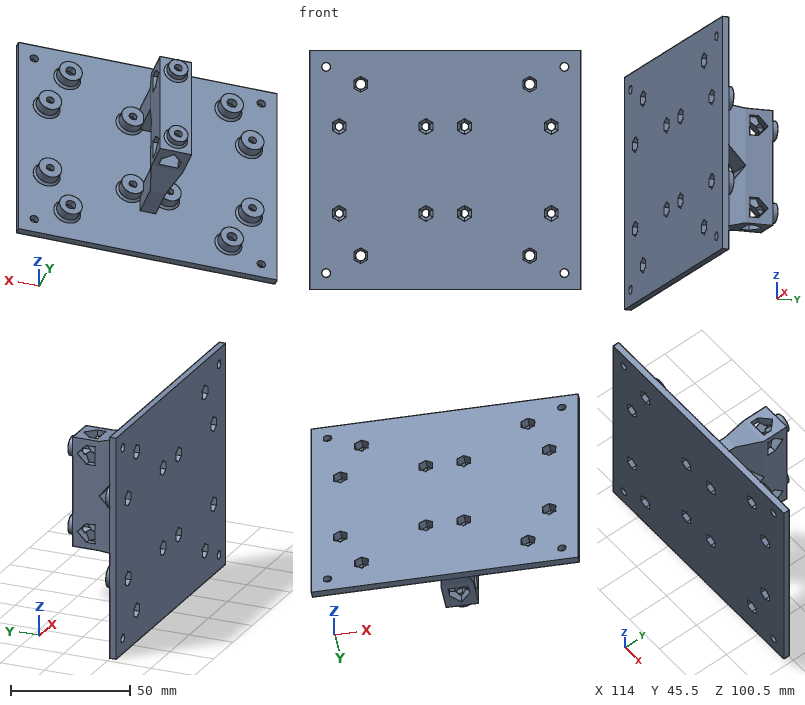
import cadquery as cq

PLATE_WIDTH = 114
PLATE_HEIGHT = 100.5
PLATE_THICKNESS = 3.0
CORNER_HOLE_DIAMETER = 3.5
CORNER_HOLE_INSET = 7.0

BOSS_DIAMETER = 10.0
BOSS_TOP = 8.1
BOSS_FLARE = 0.9
BOSS_FLARE_HEIGHT = 1.0
NUT_ACROSS_CORNERS = 6.6
NUT_ROOF_TO_TOP = 4.1
SMALL_SCREW_DIAMETER = 3.3
LARGE_SCREW_DIAMETER = 4.2
SMALL_SCREW_PITCH = 36.5
SMALL_GROUP_OFFSET = 26.3
LARGE_PITCH_X = 71.0
LARGE_PITCH_Z = 72.0

LEG_WIDTH = 6.8
LEG_HEIGHT = 11.4
LEG_CENTRE_Z = 21.9
LEG_END = 17.1
BLOCK_START = 29.9
BLOCK_END = 42.1
BLOCK_WIDTH = 13.9
BLOCK_HEIGHT = 49.7

CHANNEL_WIDTH = 8.5
CHANNEL_WALL = 3.9
CHANNEL_EAVES_Y = 35.7
PAD_CENTRE_Z = 17.8
PAD_DIAMETER = 8.5
PAD_END = 45.5
PAD_FLARE = 0.9
PAD_FLARE_HEIGHT = 0.8


def plane_at(y):
    """XZ workplane at the given depth, extruding toward +Y."""
    return cq.Workplane(cq.Plane(origin=(0, y, 0), xDir=(1, 0, 0), normal=(0, 1, 0)))


def spot(point):
    """Local coordinates of an (x, z) point on plane_at, whose vertical axis is -Z."""
    x, z = point
    return (x, -z)


def mirrored(x, z):
    """Four (x, z) points placed symmetrically about both axes."""
    return [(sx * x, sz * z) for sx in (-1, 1) for sz in (-1, 1)]


def cylinder(point, diameter, y_start, y_end):
    return plane_at(y_start).center(*spot(point)).circle(diameter / 2).extrude(y_end - y_start)


def flared_post(point, diameter, y_start, y_end, flare, flare_height):
    """Round post whose foot widens in a short cone."""
    post = cylinder(point, diameter, y_start, y_end)
    foot = cq.Solid.makeCone(
        diameter / 2 + flare,
        diameter / 2,
        flare_height,
        cq.Vector(point[0], y_start, point[1]),
        cq.Vector(0, 1, 0),
    )
    return post.union(cq.Workplane(foot))


def nut_pocket(point, screw_diameter, y_start, y_roof, y_end):
    """Hexagonal nut pocket that tapers to the screw hole, which runs on to y_end."""
    def hexagon(y):
        turned = plane_at(y).center(*spot(point)).transformed(rotate=(0, 0, 30))
        return turned.polygon(6, NUT_ACROSS_CORNERS)

    roof_height = (NUT_ACROSS_CORNERS - screw_diameter) / 2
    nut_seat = hexagon(y_start).extrude(y_roof - y_start)
    roof = hexagon(y_roof).workplane(offset=roof_height).polygon(6, screw_diameter).loft(ruled=True)
    return nut_seat.union(roof).union(cylinder(point, screw_diameter, y_start, y_end))


def bracket_arm(side):
    """Leg and its taper into one half of the block; side is +1 or -1 along Z."""
    leg_centre = spot((0, side * LEG_CENTRE_Z))
    half_block_centre_z = side * BLOCK_HEIGHT / 4
    leg = (
        plane_at(PLATE_THICKNESS)
        .center(*leg_centre)
        .rect(LEG_WIDTH, LEG_HEIGHT)
        .extrude(LEG_END - PLATE_THICKNESS)
    )
    taper = (
        plane_at(LEG_END)
        .center(*leg_centre)
        .rect(LEG_WIDTH, LEG_HEIGHT)
        .workplane(offset=BLOCK_START - LEG_END)
        .center(0, side * LEG_CENTRE_Z - half_block_centre_z)
        .rect(BLOCK_WIDTH, BLOCK_HEIGHT / 2)
        .loft(ruled=True)
    )
    return leg.union(taper)


def house(workplane):
    """Straight-walled outline with a 45 degree roof pointing along local +X, eaves at the origin."""
    half = CHANNEL_WIDTH / 2
    outline = [(-CHANNEL_WALL, -half), (0, -half), (half, 0), (0, half), (-CHANNEL_WALL, half)]
    return workplane.polyline(outline).close()


def channels():
    """One channel along the length of the block and one across it behind each pad."""
    long_plane = cq.Plane(
        origin=(0, CHANNEL_EAVES_Y, -BLOCK_HEIGHT / 2), xDir=(0, 1, 0), normal=(0, 0, 1)
    )
    cuts = house(cq.Workplane(long_plane)).extrude(BLOCK_HEIGHT)
    for side in (-1, 1):
        cross_plane = cq.Plane(
            origin=(-BLOCK_WIDTH / 2, CHANNEL_EAVES_Y, side * PAD_CENTRE_Z), xDir=(0, 1, 0), normal=(1, 0, 0)
        )
        cuts = cuts.union(house(cq.Workplane(cross_plane)).extrude(BLOCK_WIDTH))
    return cuts


small_screws = [
    (group * SMALL_GROUP_OFFSET + x, z)
    for group in (-1, 1)
    for x, z in mirrored(SMALL_SCREW_PITCH / 2, SMALL_SCREW_PITCH / 2)
]
large_screws = mirrored(LARGE_PITCH_X / 2, LARGE_PITCH_Z / 2)
corner_holes = mirrored(PLATE_WIDTH / 2 - CORNER_HOLE_INSET, PLATE_HEIGHT / 2 - CORNER_HOLE_INSET)
pads = [(0, -PAD_CENTRE_Z), (0, PAD_CENTRE_Z)]

result = plane_at(0).rect(PLATE_WIDTH, PLATE_HEIGHT).extrude(PLATE_THICKNESS)
for position in small_screws + large_screws:
    result = result.union(
        flared_post(position, BOSS_DIAMETER, PLATE_THICKNESS, BOSS_TOP, BOSS_FLARE, BOSS_FLARE_HEIGHT)
    )
block = plane_at(BLOCK_START).rect(BLOCK_WIDTH, BLOCK_HEIGHT).extrude(BLOCK_END - BLOCK_START)
for direction in (-1, 1):
    block = block.union(bracket_arm(direction))
for position in pads:
    block = block.union(
        flared_post(position, PAD_DIAMETER, BLOCK_END, PAD_END, PAD_FLARE, PAD_FLARE_HEIGHT)
    )
result = result.union(block)

result = result.cut(channels())
for position in corner_holes:
    result = result.cut(cylinder(position, CORNER_HOLE_DIAMETER, 0, PLATE_THICKNESS))
for positions, screw in ((small_screws, SMALL_SCREW_DIAMETER), (large_screws, LARGE_SCREW_DIAMETER)):
    for position in positions:
        result = result.cut(nut_pocket(position, screw, 0, BOSS_TOP - NUT_ROOF_TO_TOP, BOSS_TOP))
for position in pads:
    pad_nut_roof = PAD_END - NUT_ROOF_TO_TOP
    result = result.cut(
        nut_pocket(position, SMALL_SCREW_DIAMETER, CHANNEL_EAVES_Y, pad_nut_roof, PAD_END)
    )